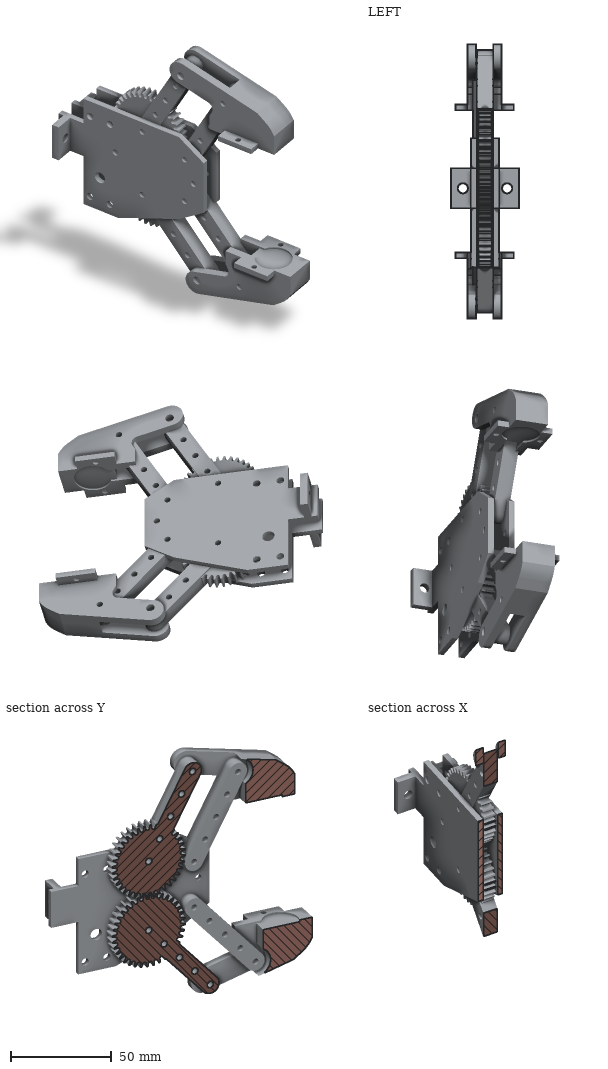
import cadquery as cq
import math


PIVOT_Z = 19.2
BAR_LENGTH = 50.7
BAR_WIDTH = 10.0
BAR_THICKNESS = 8.0
BAR_HOLE = 3.2
BAR_HOLE_COUNT = 5
UPPER_ANGLE = 61.5
LOWER_ANGLE = -48.0
LINK_DX = 25.7
LINK_DZ = 6.5
LINK_Y = 2.0

TOOTH_COUNT = 36
TIP_RADIUS = 20.3
ROOT_RADIUS = 17.6
TIP_ANGLE = 2.4
FLANK_RADIUS = 18.6
FLANK_ANGLE = 4.6
FIRST_TOOTH_ANGLE = 5.5
GEAR_THICKNESS = 6.5

PLATE_THICKNESS = 3.0
PLATE_LEFT = -35.4
PLATE_RIGHT = 37.2
PLATE_TOP = 25.0
PLATE_BOTTOM = -39.2
PLATE_BEVEL_X = 22.3
PLATE_BEVEL_Z = 15.1
PLATE_SLANT_X = -14.8
TAIL_LEFT = -50.5
TAIL_HALF_HEIGHT = 10.0
FLANGE_SETBACK = 3.0
FLANGE_THICKNESS = 4.0
FLANGE_REACH = 10.0
FLANGE_HOLE = 5.0
FLANGE_HOLE_Y = 11.0
PIVOT_HOLE = 3.2
NOSE_HOLE_X = 31.0
CORNER_HOLE = 4.0
CORNER_HOLES_X = (-31.6, -19.6)
CORNER_HOLES_Z = (15.8, -33.1)
SHAFT_HOLE = 6.2
SHAFT_HOLE_X = -25.5
FRONT_HOLE = 3.4
FRONT_HOLE_X = -16.2

FINGER_WIDTH = 17.0
FINGER_TILT = 14.2
KNUCKLE_X = -0.4
KNUCKLE_Z = 1.5
KNUCKLE_RADIUS = 6.3
SHOULDER_X = 46.2
BEVEL_END = (51.3, -7.5)
TIP_X = 56.5
TIP_Z = -13.8
GRIP_Z = -25.1
HEEL_X = 17.5
HEEL_TOP_Z = -17.0
NOTCH_X = 19.2
NOTCH_BOTTOM_Z = -13.7
NOTCH_RADIUS = 3.2
JOINT_HOLE = 4.4
SLOT_WIDTH = 8.5
SLOT_END_X = 29.2
SLOT_MOUTH_X = 26.8
LINK_CLEARANCE = 7.6
PAD_LENGTH = 20.0
PAD_WIDTH = 29.0
PAD_THICKNESS = 3.0
PAD_X = 36.8
PAD_HOLE = 3.0
PAD_HOLE_Y = 11.5
POCKET_RADIUS = 9.5
POCKET_X = 40.6
POCKET_DEPTH = 1.0

PLATE_OUTER_Y = BAR_THICKNESS / 2 + PLATE_THICKNESS
FINGER_Y = (SLOT_WIDTH - BAR_THICKNESS) / 2
FAR = 141.0
SIDES = [(1, UPPER_ANGLE), (-1, LOWER_ANGLE)]


def place_bar(bar, side, angle, x, y, z):
    """Turn a bar from +X to its angle and move its pivot into place."""
    return bar.rotate((0, 0, 0), (0, 1, 0), -angle).translate((x, y, side * z))


def bar_blank():
    """Round-ended bar along +X with its first pivot at the origin."""
    return (
        cq.Workplane("XZ")
        .center(BAR_LENGTH / 2, 0)
        .slot2D(BAR_LENGTH + BAR_WIDTH, BAR_WIDTH)
        .extrude(BAR_THICKNESS / 2, both=True)
    )


def drill_bar(bar):
    pitch = BAR_LENGTH / (BAR_HOLE_COUNT - 1)
    centres = [(i * pitch, 0) for i in range(BAR_HOLE_COUNT)]
    holes = cq.Workplane("XZ").pushPoints(centres).circle(BAR_HOLE / 2).extrude(FAR, both=True)
    return bar.cut(holes)


def polar(radius, degrees):
    return (radius * math.cos(math.radians(degrees)), radius * math.sin(math.radians(degrees)))


def gear_blank():
    """Toothed wheel on the origin, with the arm along +X falling in a tooth gap."""
    pitch = 360 / TOOTH_COUNT
    outline = cq.Workplane("XZ").moveTo(*polar(FLANK_RADIUS, FIRST_TOOTH_ANGLE - FLANK_ANGLE / 2))
    for i in range(TOOTH_COUNT):
        middle = FIRST_TOOTH_ANGLE + i * pitch
        root = polar(ROOT_RADIUS, middle + pitch / 2)
        next_flank = polar(FLANK_RADIUS, middle + pitch - FLANK_ANGLE / 2)
        outline = (
            outline
            .lineTo(*polar(TIP_RADIUS, middle - TIP_ANGLE / 2))
            .lineTo(*polar(TIP_RADIUS, middle + TIP_ANGLE / 2))
            .lineTo(*polar(FLANK_RADIUS, middle + FLANK_ANGLE / 2))
            .threePointArc(root, next_flank)
        )
    return outline.close().extrude(GEAR_THICKNESS / 2, both=True)


def gear_arm(side, angle):
    arm = drill_bar(bar_blank().union(gear_blank()))
    return place_bar(arm, side, angle, 0, 0, PIVOT_Z)


def place_link(bar, side, angle):
    return place_bar(bar, side, angle, LINK_DX, LINK_Y, PIVOT_Z - LINK_DZ)


def link(side, angle):
    return place_link(drill_bar(bar_blank()), side, angle)


def plate_sheet():
    outline = [
        (TAIL_LEFT, TAIL_HALF_HEIGHT),
        (PLATE_LEFT, TAIL_HALF_HEIGHT),
        (PLATE_LEFT, PLATE_TOP),
        (PLATE_BEVEL_X, PLATE_TOP),
        (PLATE_RIGHT, PLATE_BEVEL_Z),
        (PLATE_RIGHT, -PLATE_BEVEL_Z),
        (PLATE_BEVEL_X, -PLATE_TOP),
        (PLATE_SLANT_X, PLATE_BOTTOM),
        (PLATE_LEFT, PLATE_BOTTOM),
        (PLATE_LEFT, -TAIL_HALF_HEIGHT),
        (TAIL_LEFT, -TAIL_HALF_HEIGHT),
    ]
    sheet = cq.Workplane("XZ").polyline(outline).close().extrude(PLATE_THICKNESS)
    return sheet.translate((0, -BAR_THICKNESS / 2, 0))


def plate_holes():
    link_z = PIVOT_Z - LINK_DZ
    pivots = [(0, PIVOT_Z), (0, -PIVOT_Z), (LINK_DX, link_z), (LINK_DX, -link_z), (NOSE_HOLE_X, 0)]
    corners = [(x, z) for x in CORNER_HOLES_X for z in CORNER_HOLES_Z]
    return (
        cq.Workplane("XZ")
        .pushPoints(pivots).circle(PIVOT_HOLE / 2)
        .pushPoints(corners).circle(CORNER_HOLE / 2)
        .pushPoints([(SHAFT_HOLE_X, -PIVOT_Z)]).circle(SHAFT_HOLE / 2)
        .extrude(FAR, both=True)
    )


def plate_flange():
    """Outward mounting flange across the tail of the front plate."""
    flange = cq.Workplane("XY").box(
        FLANGE_THICKNESS, FLANGE_REACH, 2 * TAIL_HALF_HEIGHT, centered=(False, False, True)
    ).translate((TAIL_LEFT + FLANGE_SETBACK, -PLATE_OUTER_Y - FLANGE_REACH, 0))
    hole = cq.Workplane("YZ").center(-FLANGE_HOLE_Y, 0).circle(FLANGE_HOLE / 2).extrude(-FAR)
    return flange.cut(hole)


def base_plate():
    """Plate on the -Y side, as both plates have it."""
    return plate_sheet().cut(plate_holes()).union(plate_flange())


def front_plate():
    hole = cq.Workplane("XZ").center(FRONT_HOLE_X, 0).circle(FRONT_HOLE / 2).extrude(FAR)
    return base_plate().cut(hole)


def rear_plate():
    """Mirrored plate, with a shallow recess for each link."""
    plate = base_plate().mirror("XZ")
    for side, angle in SIDES:
        plate = plate.cut(place_link(bar_blank(), side, angle))
    return plate


def finger_body():
    tilt = math.radians(FINGER_TILT)
    back = (KNUCKLE_X + KNUCKLE_RADIUS * math.sin(tilt), KNUCKLE_Z + KNUCKLE_RADIUS * math.cos(tilt))
    belly = (KNUCKLE_X - KNUCKLE_RADIUS * math.sin(tilt), KNUCKLE_Z - KNUCKLE_RADIUS * math.cos(tilt))
    shoulder = (SHOULDER_X, back[1] - (SHOULDER_X - back[0]) * math.tan(tilt))
    notch_corner_z = belly[1] - (NOTCH_X - belly[0]) * math.tan(tilt)
    notch_run = NOTCH_RADIUS * math.tan((math.pi / 2 - tilt) / 2)
    notch_start = (NOTCH_X, notch_corner_z - notch_run)
    notch_end = (NOTCH_X - notch_run * math.cos(tilt), notch_corner_z + notch_run * math.sin(tilt))
    rear = (KNUCKLE_X - KNUCKLE_RADIUS * math.cos(tilt), KNUCKLE_Z + KNUCKLE_RADIUS * math.sin(tilt))
    return (
        cq.Workplane("XZ")
        .moveTo(*back)
        .lineTo(*shoulder)
        .lineTo(*BEVEL_END)
        .tangentArcPoint((TIP_X, TIP_Z), relative=False)
        .lineTo(TIP_X, GRIP_Z)
        .lineTo(HEEL_X, GRIP_Z)
        .lineTo(HEEL_X, HEEL_TOP_Z)
        .lineTo(NOTCH_X, NOTCH_BOTTOM_Z)
        .lineTo(*notch_start)
        .tangentArcPoint(notch_end, relative=False)
        .lineTo(*belly)
        .threePointArc(rear, back)
        .close()
        .extrude(FINGER_WIDTH / 2, both=True)
    )


def finger_pads():
    """Grip pad reaching out past both cheeks, with a screw hole on each side."""
    pads = cq.Workplane("XY").box(PAD_LENGTH, PAD_WIDTH, PAD_THICKNESS, centered=(True, True, False))
    holes = cq.Workplane("XY").pushPoints([(0, PAD_HOLE_Y), (0, -PAD_HOLE_Y)]).circle(PAD_HOLE / 2)
    return pads.cut(holes.extrude(PAD_THICKNESS)).translate((PAD_X, 0, GRIP_Z))


def slot_box(end_x, top_z):
    """Block of the slot's width, from far left to end_x and from far below to top_z."""
    block = cq.Workplane("XY").box(FAR, SLOT_WIDTH, FAR)
    return block.translate((end_x - FAR / 2, 0, top_z - FAR / 2))


def finger_slot():
    """Slot between the cheeks, with room for the round end of the link to turn."""
    mouth = slot_box(SLOT_MOUTH_X, FAR / 2)
    lower_part = slot_box(SLOT_END_X, -LINK_DZ)
    clearance = (
        cq.Workplane("XZ").center(LINK_DX, -LINK_DZ).circle(LINK_CLEARANCE).extrude(SLOT_WIDTH / 2, both=True)
    )
    return mouth.union(lower_part).union(clearance)


def finger_joint_holes():
    holes = cq.Workplane("XZ").circle(JOINT_HOLE / 2).extrude(FAR, both=True)
    link_hole = cq.Workplane("XZ").center(LINK_DX, -LINK_DZ).circle(BAR_HOLE / 2)
    return holes.union(link_hole.extrude(FAR, both=True))


def grip_pocket():
    """Shallow round pocket in the grip face, joined to the slot by a channel of the slot's width."""
    disc = cq.Workplane("XY").circle(POCKET_RADIUS).extrude(POCKET_DEPTH).translate((POCKET_X, 0, GRIP_Z))
    return disc.union(slot_box(POCKET_X, GRIP_Z + POCKET_DEPTH))


def finger(side, angle):
    body = finger_body().union(finger_pads())
    body = body.cut(finger_slot()).cut(finger_joint_holes()).cut(grip_pocket())
    if side < 0:
        body = body.mirror("XY")
    joint_x, rise = polar(BAR_LENGTH, angle)
    body = body.translate((joint_x, FINGER_Y, side * PIVOT_Z + rise))
    return body.cut(place_link(bar_blank(), side, angle))


bodies = [front_plate().solids().val(), rear_plate().solids().val()]
for side, angle in SIDES:
    bodies.append(gear_arm(side, angle).solids().val())
    bodies.append(link(side, angle).solids().val())
    bodies.append(finger(side, angle).solids().val())

result = cq.Compound.makeCompound(bodies)